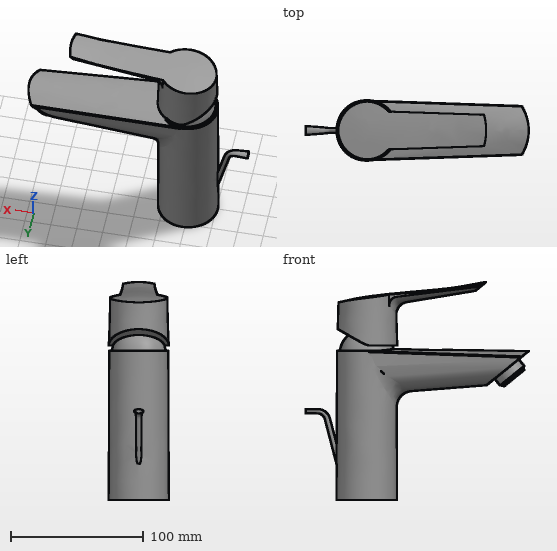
import cadquery as cq
import math

BASE_RADIUS = 23.0
RIM_RADIUS = 22.6
RIM_Z = 113.4
RIM_CHAMFER = 0.7

SPOUT_TIP_X = 122.7
SPOUT_OVERRUN = 1.7
SPOUT_ROOT_HALF_WIDTH = 22.6
SPOUT_TIP_HALF_WIDTH = 18.5
SPOUT_ROOT_TOP_Z = 114.9
SPOUT_TIP_TOP_Z = 112.9
SPOUT_ROOT_SIDE_Z = 113.0
SPOUT_TIP_SIDE_Z = 108.6
SPOUT_ROOT_BOTTOM_Z = 79.8
SPOUT_TIP_BOTTOM_Z = 89.4
SPOUT_LIP_WIDTH = 0.5
SPOUT_LIP_HEIGHT = 1.0
TROUGH_DEPTH_RATIO = 0.93
TROUGH_WIDTH_RATIO = 0.97
SPOUT_CUT_ANGLE = 39
THROAT_RADIUS = 11.8
THROAT_BACK_X = 10.1
THROAT_TOP_Z = 104.8

AERATOR_SETBACK = 21.6
AERATOR_DIAMETER = 23.7
AERATOR_LENGTH = 7.8
AERATOR_CHAMFER = 1.2
NOZZLE_DIAMETER = 20.1
NOZZLE_LENGTH = 9.0

BALL_DIAMETER = 41.9
BALL_Z = 109.5

DRUM_X = 0.3
DRUM_BOTTOM_Z = 117.0
DRUM_BOTTOM_RADIUS = 22.8
DRUM_TOP_RADIUS = 21.5
DRUM_HEIGHT = 47.3
DRUM_SLOPE_BACK_X = -21.8
DRUM_SLOPE_BACK_Z = 129.3
DRUM_SLOPE_FRONT_X = -4.0
DRUM_SLOPE_FRONT_Z = 119.3
DRUM_FLAT_X = 2.2

TOP_BACK_X = -22.8
TOP_BACK_Z = 149.4
TOP_DRUM_X = 5.0
TOP_DRUM_Z = 154.8
TOP_NECK_X = 30.4
TOP_NECK_Z = 157.5
LEVER_TIP_X = 90.4
LEVER_TIP_Z = 165.3
TOP_HALF_WIDTH = 23.7
TOP_BACK_SAG = 0.5
TOP_TIP_SAG = 4.2

LEVER_ROOT_X = TOP_DRUM_X
LEVER_ROOT_HALF_WIDTH = 14.7
LEVER_TIP_HALF_WIDTH = 11.8
LEVER_ROOT_BOTTOM_Z = 145.7
LEVER_TIP_BOTTOM_Z = 159.7
LEVER_ROOT_EDGE_Z = 151.7
LEVER_TIP_EDGE_Z = 162.2
LEVER_TRIM_HEIGHT = 11.8
LEVER_CUT_ANGLE = 40
NECK_RADIUS = 9.3

ROD_DIAMETER = 4.0
ROD_TIP_X = -46.3
ROD_TIP_Z = 67.3
ROD_TIP_WIDTH = 7.0
ROD_TIP_HEIGHT = 3.2
ROD_BEND_X = -37.2
ROD_BEND_WIDTH = 5.5
ROD_BEND_HEIGHT = 3.4
ROD_BEND_RADIUS = 7.6
ROD_ANGLE = 75.4
ROD_LENGTH = 37.2

CUTTER_SIZE = 135.2


def between(start, end, fraction):
    return start + (end - start) * fraction


def cross_section(x):
    """Workplane across X whose local axes are the global Y and Z."""
    return cq.Workplane(cq.Plane(origin=(x, 0, 0), xDir=(0, 1, 0), normal=(1, 0, 0)))


def loft(sections, ruled=True):
    wires = [section.val() for section in sections]
    return cq.Workplane(cq.Solid.makeLoft(wires, ruled))


def slanted_plane(x, z, angle):
    """Plane through (x, z) that faces forward and down, with its local X running back down the slant."""
    slope = math.radians(angle)
    return cq.Plane(
        origin=(x, 0, z),
        xDir=(-math.cos(slope), 0, -math.sin(slope)),
        normal=(math.sin(slope), 0, -math.cos(slope)),
    )


def cut_beyond(solid, plane):
    waste = cq.Workplane(plane).rect(CUTTER_SIZE, CUTTER_SIZE).extrude(CUTTER_SIZE)
    return solid.cut(waste)


SPOUT_END = slanted_plane(SPOUT_TIP_X, SPOUT_TIP_TOP_Z, SPOUT_CUT_ANGLE)
LEVER_END = slanted_plane(LEVER_TIP_X, LEVER_TIP_Z, LEVER_CUT_ANGLE)


def make_column():
    cone = cq.Solid.makeCone(BASE_RADIUS, RIM_RADIUS, RIM_Z)
    return cq.Workplane(cone).faces(">Z").edges().chamfer(RIM_CHAMFER)


def spout_section(x):
    along = x / SPOUT_TIP_X
    half = between(SPOUT_ROOT_HALF_WIDTH, SPOUT_TIP_HALF_WIDTH, along)
    top = between(SPOUT_ROOT_TOP_Z, SPOUT_TIP_TOP_Z, along)
    side = between(SPOUT_ROOT_SIDE_Z, SPOUT_TIP_SIDE_Z, along)
    bottom = between(SPOUT_ROOT_BOTTOM_Z, SPOUT_TIP_BOTTOM_Z, along)
    lip_half = half - SPOUT_LIP_WIDTH
    lip_bottom = side - SPOUT_LIP_HEIGHT
    trough_half = half * TROUGH_WIDTH_RATIO
    trough_top = bottom + half * TROUGH_DEPTH_RATIO
    return (
        cross_section(x)
        .moveTo(-lip_half, side)
        .threePointArc((0, top), (lip_half, side))
        .lineTo(half, lip_bottom)
        .lineTo(trough_half, trough_top)
        .threePointArc((0, bottom), (-trough_half, trough_top))
        .lineTo(-half, lip_bottom)
        .close()
    )


def make_spout():
    spout = loft([spout_section(0), spout_section(SPOUT_TIP_X + SPOUT_OVERRUN)])
    return cut_beyond(spout, SPOUT_END)


def make_body():
    """Column and spout, with the throat under the spout rounded."""
    body = make_column().union(make_spout())
    throat = cq.selectors.BoxSelector(
        (THROAT_BACK_X, -BASE_RADIUS, SPOUT_ROOT_BOTTOM_Z),
        (BASE_RADIUS, BASE_RADIUS, THROAT_TOP_Z),
    )
    return body.edges(throat).fillet(THROAT_RADIUS)


def make_aerator():
    face = cq.Workplane(SPOUT_END).center(AERATOR_SETBACK, 0)
    outlet = cq.selectors.DirectionMinMaxSelector(SPOUT_END.zDir)
    barrel = (
        face.circle(AERATOR_DIAMETER / 2)
        .extrude(AERATOR_LENGTH)
        .faces(outlet)
        .edges()
        .chamfer(AERATOR_CHAMFER)
    )
    nozzle = face.circle(NOZZLE_DIAMETER / 2).extrude(NOZZLE_LENGTH)
    return barrel.union(nozzle)


def make_ball():
    return cq.Workplane("XY").sphere(BALL_DIAMETER / 2).translate((0, 0, BALL_Z))


def make_drum():
    cone = cq.Solid.makeCone(DRUM_BOTTOM_RADIUS, DRUM_TOP_RADIUS, DRUM_HEIGHT)
    drum = cq.Workplane(cone).translate((DRUM_X, 0, DRUM_BOTTOM_Z))
    run = DRUM_SLOPE_FRONT_X - DRUM_SLOPE_BACK_X
    drop = DRUM_SLOPE_FRONT_Z - DRUM_SLOPE_BACK_Z
    under_slope = (
        cq.Workplane("XZ")
        .moveTo(DRUM_SLOPE_BACK_X - run, DRUM_SLOPE_BACK_Z - drop)
        .lineTo(DRUM_SLOPE_FRONT_X, DRUM_SLOPE_FRONT_Z)
        .tangentArcPoint((DRUM_FLAT_X, DRUM_BOTTOM_Z), relative=False)
        .lineTo(DRUM_SLOPE_BACK_X - run, DRUM_BOTTOM_Z)
        .close()
        .extrude(CUTTER_SIZE / 2, both=True)
    )
    return drum.cut(under_slope)


def lever_section(x):
    along = (x - LEVER_ROOT_X) / (LEVER_TIP_X - LEVER_ROOT_X)
    half = between(LEVER_ROOT_HALF_WIDTH, LEVER_TIP_HALF_WIDTH, along)
    edge = between(LEVER_ROOT_EDGE_Z, LEVER_TIP_EDGE_Z, along)
    bottom = between(LEVER_ROOT_BOTTOM_Z, LEVER_TIP_BOTTOM_Z, along)
    above_top = edge + LEVER_TRIM_HEIGHT
    return (
        cross_section(x)
        .moveTo(-half, above_top)
        .lineTo(-half, edge)
        .threePointArc((0, bottom), (half, edge))
        .lineTo(half, above_top)
        .close()
    )


def top_section(x, ridge):
    """Section of the space under the crowned top face of the handle."""
    along = (x - TOP_BACK_X) / (LEVER_TIP_X - TOP_BACK_X)
    side = ridge - between(TOP_BACK_SAG, TOP_TIP_SAG, along)
    return (
        cross_section(x)
        .moveTo(-TOP_HALF_WIDTH, DRUM_BOTTOM_Z)
        .lineTo(-TOP_HALF_WIDTH, side)
        .threePointArc((0, ridge), (TOP_HALF_WIDTH, side))
        .lineTo(TOP_HALF_WIDTH, DRUM_BOTTOM_Z)
        .close()
    )


def make_handle():
    """Drum and lever blended at the neck, then trimmed by the top face and the slanted tip."""
    lever = loft([lever_section(LEVER_ROOT_X), lever_section(LEVER_TIP_X)])
    neck = cq.selectors.BoxSelector(
        (LEVER_ROOT_X, -DRUM_BOTTOM_RADIUS, LEVER_ROOT_BOTTOM_Z),
        (DRUM_X + DRUM_BOTTOM_RADIUS, DRUM_BOTTOM_RADIUS, TOP_DRUM_Z),
    )
    handle = make_drum().union(lever).edges(neck).fillet(NECK_RADIUS)
    ridge = (
        (TOP_BACK_X, TOP_BACK_Z),
        (TOP_DRUM_X, TOP_DRUM_Z),
        (TOP_NECK_X, TOP_NECK_Z),
        (LEVER_TIP_X, LEVER_TIP_Z),
    )
    under_top = loft([top_section(x, z) for x, z in ridge], ruled=False)
    return cut_beyond(handle.intersect(under_top), LEVER_END)


def grip_section(x, width, height):
    return cross_section(x).center(0, ROD_TIP_Z).ellipse(width / 2, height / 2)


def make_rod():
    angle = math.radians(ROD_ANGLE)

    def bend_point(turn):
        x = ROD_BEND_X + ROD_BEND_RADIUS * math.sin(turn)
        z = ROD_TIP_Z - ROD_BEND_RADIUS * (1 - math.cos(turn))
        return x, z

    bend_end = bend_point(angle)
    end_plane = cq.Plane(
        origin=(bend_end[0], 0, bend_end[1]),
        xDir=(0, 1, 0),
        normal=(math.cos(angle), 0, -math.sin(angle)),
    )
    grip_tip = grip_section(ROD_TIP_X, ROD_TIP_WIDTH, ROD_TIP_HEIGHT)
    grip_end = grip_section(ROD_BEND_X, ROD_BEND_WIDTH, ROD_BEND_HEIGHT)
    rod_end = cq.Workplane(end_plane).circle(ROD_DIAMETER / 2)
    bend_path = (
        cq.Workplane("XZ")
        .moveTo(ROD_BEND_X, ROD_TIP_Z)
        .threePointArc(bend_point(angle / 2), bend_end)
    )
    grip = loft([grip_tip, grip_end])
    bend = cq.Workplane(cq.Solid.sweep_multi([grip_end.val(), rod_end.val()], bend_path.val()))
    straight = rod_end.extrude(ROD_LENGTH)
    return grip.union(bend).union(straight)


result = (
    make_body()
    .union(make_aerator())
    .union(make_ball())
    .union(make_handle())
    .union(make_rod())
)